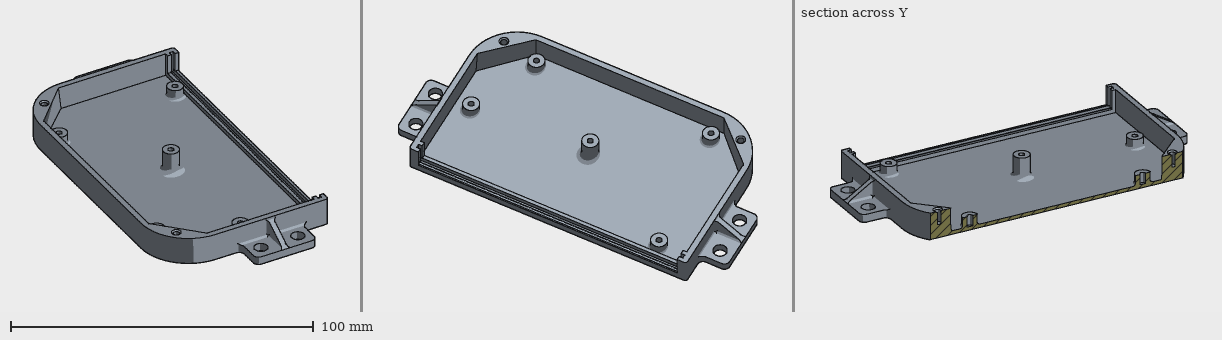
import cadquery as cq

overall_length = 123.0
body_length = 103.2
body_width = 61.0
body_height = 10.0
front_corner_radius = 18.0
back_corner_radius = 1.0
wall = 2.1
floor_thickness = 1.5

half_length = body_length / 2
half_width = body_width / 2
inner_half_length = half_length - wall
inner_front_y = wall - half_width

corner_leg_front = 14.5
corner_leg_side_floor = 14.9
corner_leg_side_rim = 13.9

sill_depth = 4.3
sill_height = 3.0
sill_edge_chamfer = 0.31
post_overhang = 1.4
groove_mouth = 1.7
groove_taper = 0.4
groove_depth = 1.0
post_groove_width = groove_mouth - groove_taper
groove_y = half_width - sill_depth / 2
sill_front_y = half_width - sill_depth
post_half_gap = inner_half_length - post_overhang

boss_radius = 2.8
boss_hole_radius = 1.0
low_boss_height = 3.8
tall_boss_height = 8.1
low_boss_fillet = 1.0
tall_boss_fillet = 2.0
low_boss_centres = [(-37.5, 23.0), (-32.5, -24.0), (32.5, -24.0), (43.4, 1.7)]

corner_hole_x = 44.0
corner_hole_y = -23.0
corner_hole_radius = 1.1
corner_hole_depth = 4.9
corner_hole_countersink = 0.5

tab_centre_y = 9.0
tab_width = 23.1
tab_thickness = 3.0
tab_edge_radius = 2.0
tab_hole_radius = 2.3
tab_hole_spacing = 14.0
tab_hole_inset = 4.9
rib_centre_y = 8.6
rib_thickness = 2.0
rib_top = 9.0
tab_fillet = 1.0

overlap = 1.2
tab_tip_x = overall_length / 2
tab_length = tab_tip_x - half_length
tab_root_x = half_length - overlap


def make_body():
    body = cq.Workplane("XY").box(body_length, body_width, body_height, centered=(True, True, False))
    body = body.edges("|Z and <Y").fillet(front_corner_radius)
    return body.edges("|Z and >Y").fillet(back_corner_radius)


def make_front_corner():
    """Ruled block that fills the front right corner of the cavity."""
    def triangle(plane, side_leg):
        return (
            plane.moveTo(inner_half_length, inner_front_y)
            .lineTo(inner_half_length, inner_front_y + side_leg)
            .lineTo(inner_half_length - corner_leg_front, inner_front_y)
            .close()
        )

    at_floor = triangle(cq.Workplane("XY", origin=(0, 0, floor_thickness)), corner_leg_side_floor)
    at_rim = at_floor.workplane(offset=body_height - floor_thickness)
    return triangle(at_rim, corner_leg_side_rim).loft(ruled=True)


def make_cavity():
    cavity = (
        cq.Workplane("XY", origin=(0, 0, floor_thickness))
        .moveTo(-inner_half_length, inner_front_y)
        .lineTo(inner_half_length, inner_front_y)
        .lineTo(inner_half_length, sill_front_y)
        .lineTo(-inner_half_length, sill_front_y)
        .close()
        .extrude(body_height - floor_thickness)
    )
    corner = make_front_corner()
    return cavity.cut(corner).cut(corner.mirror("YZ"))


def make_back_opening():
    """Space above the sill, between the posts, including the chamfer on its back edge."""
    chamfer_foot = sill_height - sill_edge_chamfer
    return (
        cq.Workplane("YZ", origin=(-post_half_gap, 0, 0))
        .moveTo(sill_front_y, sill_height)
        .lineTo(half_width - sill_edge_chamfer, sill_height)
        .lineTo(half_width, chamfer_foot)
        .lineTo(half_width, body_height)
        .lineTo(sill_front_y, body_height)
        .close()
        .extrude(2 * post_half_gap)
    )


def make_grooves():
    """Tapered groove along the sill and a straight groove in the inner face of each post."""
    half_mouth = groove_mouth / 2
    half_bottom = half_mouth - groove_taper
    sill_groove = (
        cq.Workplane("YZ", origin=(-inner_half_length, groove_y, sill_height))
        .moveTo(-half_mouth, 0)
        .lineTo(-half_bottom, -groove_depth)
        .lineTo(half_bottom, -groove_depth)
        .lineTo(half_mouth, 0)
        .close()
        .extrude(2 * inner_half_length)
    )
    post_grooves = (
        cq.Workplane("XY", origin=(0, groove_y, sill_height))
        .rect(2 * inner_half_length, post_groove_width)
        .extrude(body_height - sill_height)
    )
    return sill_groove.union(post_grooves)


def arc_middle_offset(radius):
    """Distance from both legs of a square corner to the middle of its fillet arc."""
    return radius * (1 - 0.5 ** 0.5)


def make_boss(x, y, height, fillet):
    """Boss with a concave fillet at its foot, turned about its own axis and rooted in the floor."""
    foot_radius = boss_radius + fillet
    near = arc_middle_offset(fillet)
    root_depth = floor_thickness / 2
    return (
        cq.Workplane("XZ")
        .moveTo(0, -root_depth)
        .lineTo(foot_radius, -root_depth)
        .lineTo(foot_radius, 0)
        .threePointArc((boss_radius + near, near), (boss_radius, fillet))
        .lineTo(boss_radius, height)
        .lineTo(0, height)
        .close()
        .revolve(360, (0, 0, 0), (0, 1, 0))
        .translate((x, y, floor_thickness))
    )


def make_boss_hole(x, y, height):
    return cq.Workplane("XY", origin=(x, y, floor_thickness)).circle(boss_hole_radius).extrude(height)


def make_corner_hole(x):
    rim = cq.Workplane("XY", origin=(x, corner_hole_y, body_height))
    hole = rim.circle(corner_hole_radius).extrude(-corner_hole_depth)
    countersink = (
        rim.circle(corner_hole_radius + corner_hole_countersink)
        .workplane(offset=-corner_hole_countersink)
        .circle(corner_hole_radius)
        .loft()
    )
    return hole.union(countersink)


def wall_plane(y):
    """Plane at the wall with local y leading away from it; extrusion runs down from the rim."""
    return cq.Plane(origin=(half_length, y, body_height), xDir=(0, 1, 0), normal=(0, 0, -1))


def flared_outline(plane, half_thickness, radius, reach):
    """Outline standing on the plane's local x axis, with a fillet arc at its foot on both sides."""
    near = arc_middle_offset(radius)
    foot = half_thickness + radius
    return (
        cq.Workplane(plane)
        .moveTo(-foot, -overlap)
        .lineTo(foot, -overlap)
        .lineTo(foot, 0)
        .threePointArc((half_thickness + near, near), (half_thickness, radius))
        .lineTo(half_thickness, reach)
        .lineTo(-half_thickness, reach)
        .lineTo(-half_thickness, radius)
        .threePointArc((-half_thickness - near, near), (-foot, 0))
        .close()
    )


def make_plate():
    """Right-hand tab plate: rounded outer corners, flared sides and a fillet along the wall."""
    near = arc_middle_offset(tab_fillet)
    side_profile = (
        cq.Workplane("XZ", origin=(0, tab_centre_y, 0))
        .moveTo(tab_root_x, 0)
        .lineTo(tab_tip_x, 0)
        .lineTo(tab_tip_x, tab_thickness)
        .lineTo(half_length + tab_fillet, tab_thickness)
        .threePointArc((half_length + near, tab_thickness + near), (half_length, tab_thickness + tab_fillet))
        .lineTo(tab_root_x, tab_thickness + tab_fillet)
        .close()
        .extrude(tab_width, both=True)
    )
    outline = (
        flared_outline(wall_plane(tab_centre_y), tab_width / 2, tab_edge_radius, tab_length)
        .extrude(body_height)
        .edges("|Z and >X").fillet(tab_edge_radius)
    )
    return outline.intersect(side_profile)


def make_rib():
    """Sloping rib on the right-hand tab, filleted against both the plate and the wall."""
    envelope = (
        cq.Workplane("XZ", origin=(0, rib_centre_y, 0))
        .moveTo(tab_root_x, 0)
        .lineTo(tab_tip_x, 0)
        .lineTo(tab_tip_x, tab_thickness)
        .lineTo(half_length, rib_top)
        .lineTo(half_length, body_height)
        .lineTo(tab_root_x, body_height)
        .close()
        .extrude(rib_thickness / 2 + tab_fillet, both=True)
        .edges(cq.NearestToPointSelector((half_length, rib_centre_y, rib_top))).fillet(tab_fillet)
    )
    from_wall = (
        flared_outline(wall_plane(rib_centre_y), rib_thickness / 2, tab_fillet, tab_length)
        .extrude(body_height)
    )
    plate_plane = cq.Plane(origin=(tab_root_x, rib_centre_y, tab_thickness), xDir=(0, 1, 0), normal=(1, 0, 0))
    from_plate = (
        flared_outline(plate_plane, rib_thickness / 2, tab_fillet, body_height)
        .extrude(tab_length + overlap)
    )
    return envelope.intersect(from_wall.union(from_plate))


def make_tab():
    """Right-hand mounting tab with its rib and two through holes."""
    hole_centres = [(0, -tab_hole_spacing / 2), (0, tab_hole_spacing / 2)]
    holes = (
        cq.Workplane("XY", origin=(tab_tip_x - tab_hole_inset, tab_centre_y, 0))
        .pushPoints(hole_centres)
        .circle(tab_hole_radius)
        .extrude(body_height)
    )
    return make_plate().union(make_rib()).cut(holes)


result = make_body().cut(make_cavity()).cut(make_back_opening()).cut(make_grooves())

right_tab = make_tab()
result = result.union(right_tab).union(right_tab.mirror("YZ"))

result = result.union(make_boss(0, 0, tall_boss_height, tall_boss_fillet))
result = result.cut(make_boss_hole(0, 0, tall_boss_height))
for x, y in low_boss_centres:
    result = result.union(make_boss(x, y, low_boss_height, low_boss_fillet))
    result = result.cut(make_boss_hole(x, y, low_boss_height))

for side in (-1, 1):
    result = result.cut(make_corner_hole(side * corner_hole_x))